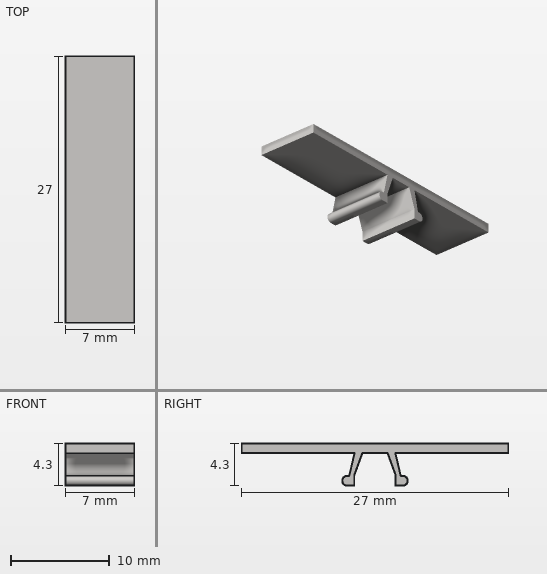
import cadquery as cq

width = 7.0
length = 27.0
height = 4.3
plate_thickness = 1.0

root_inner = 1.27
root_outer = 2.08
foot_inner = 2.08
ankle_outer = 2.62
foot_tip = 3.32
foot_height = 1.0
knee_height = 1.08

foot_radius = foot_height / 2
foot_round_center = foot_tip - foot_radius
plate_bottom = height - plate_thickness


def make_plate():
    """Flat plate resting on top of the legs."""
    return (
        cq.Workplane("XY")
        .workplane(offset=plate_bottom)
        .rect(width, length)
        .extrude(plate_thickness)
    )


def make_leg():
    """Leaning leg with a rounded outward foot, on the +Y side."""
    return (
        cq.Workplane("YZ")
        .moveTo(root_inner, plate_bottom)
        .lineTo(foot_inner, knee_height)
        .lineTo(foot_inner, 0)
        .lineTo(foot_round_center, 0)
        .threePointArc((foot_tip, foot_radius), (foot_round_center, foot_height))
        .lineTo(ankle_outer, foot_height)
        .lineTo(root_outer, plate_bottom)
        .close()
        .extrude(width / 2, both=True)
    )


leg = make_leg()
result = make_plate().union(leg).union(leg.mirror("XZ"))